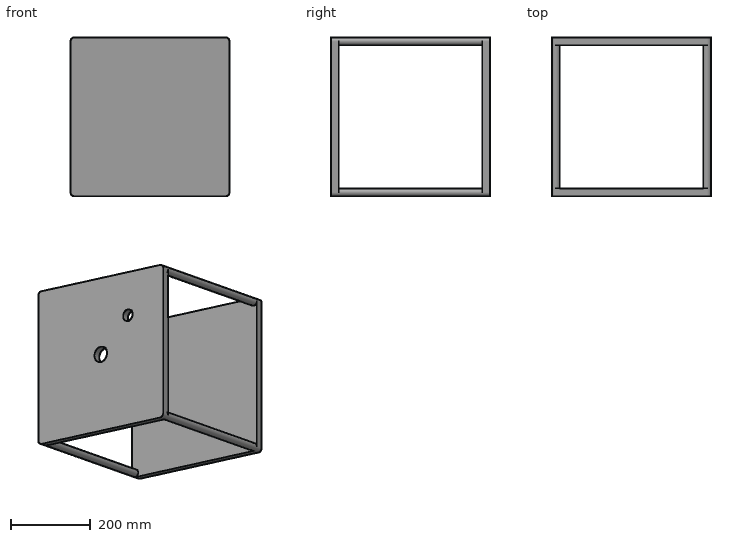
import cadquery as cq

side = 400.0
panel_thickness = 20.0
rod_diameter = 20.0
center_hole_diameter = 40.0
offset_hole_diameter = 30.0
offset_hole_distance = 87.0

half_side = side / 2
rod_radius = rod_diameter / 2
rod_offset = half_side - rod_radius


def make_panel(front_y):
    """Square upright panel whose rounded corners are concentric with the rods."""
    panel = cq.Workplane("XY").box(side, panel_thickness, side)
    panel = panel.edges("|Y").fillet(rod_radius)
    return panel.translate((0, front_y + panel_thickness / 2, 0))


def make_rods():
    """Four round rods running the full depth, one in each corner."""
    corners = [(x, z) for x in (-rod_offset, rod_offset) for z in (-rod_offset, rod_offset)]
    return cq.Workplane("XZ", origin=(0, half_side, 0)).pushPoints(corners).circle(rod_radius).extrude(side)


def make_hole(x, z, diameter):
    """Cutter for a round hole through the rear panel."""
    rear_face = cq.Workplane("XZ", origin=(x, half_side, z))
    return rear_face.circle(diameter / 2).extrude(panel_thickness)


front_panel = make_panel(-half_side)
rear_panel = make_panel(half_side - panel_thickness)
rear_panel = rear_panel.cut(make_hole(0, 0, center_hole_diameter))
rear_panel = rear_panel.cut(make_hole(-offset_hole_distance, offset_hole_distance, offset_hole_diameter))

result = front_panel.union(rear_panel).union(make_rods())